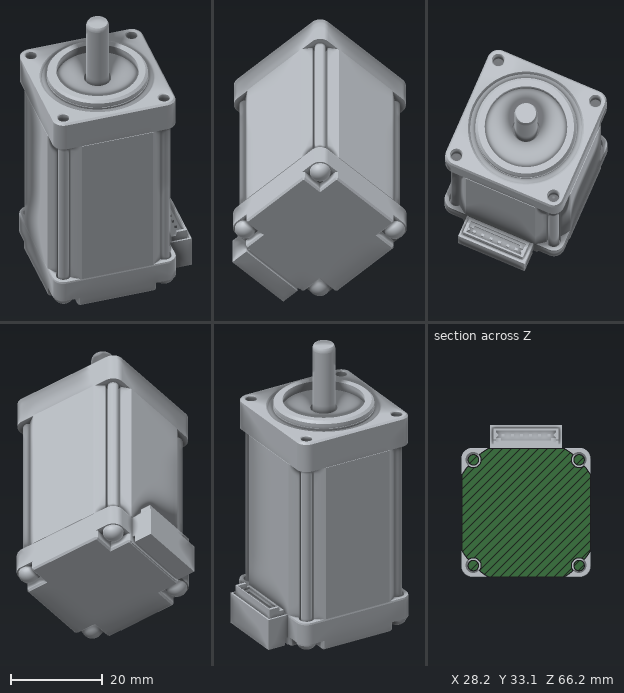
import cadquery as cq
import math


total_height = 66.2
frame_width = 28.2
frame_depth = 28.15
total_depth = 33.1

end_cap_top = 7.4
body_top = 44.2
front_cap_top = 51.25
pilot_top = 52.8

front_cap_side = 27.95
cap_corner_radius = 2.45
edge_chamfer = 0.4
rim_chamfer_width = 0.1
join_overlap = 0.3

body_corner_radius = 16.3

screw_spacing = 23.05
screw_radius = 1.2
screw_clearance_radius = 1.65
head_radius = 2.25
head_rim_height = 0.5
head_dome_height = 1.65
head_pocket_side = 5.1
head_pocket_height = 2.25

mount_hole_radius = 1.25
mount_hole_depth = 4.0
mount_hole_chamfer = 0.2

pilot_radius = 11.0
pilot_chamfer = 0.5
pilot_root_radius = 11.1
groove_outer_radius = 12.65
groove_depth = 0.45
recess_radius = 9.0
recess_depth = 2.0

shaft_radius = 2.5
shaft_clearance_radius = 3.0
shaft_clearance_depth = 2.0
tip_height = 1.0
tip_setback = 0.3

connector_width = 15.75
connector_bottom = 0.1
connector_relief_depth = 0.65
connector_relief_top = 1.9
shell_wall = 0.4
shell_gap = 0.4
plug_high_end = 3.2
plug_low_start = 3.4
plug_end = 4.45
plug_high = 2.0
plug_low = 1.0
cavity_mouth_start = 1.0
cavity_mouth_depth = 0.2
cavity_start = 1.2
cavity_end = 4.0
cavity_side_wall = 0.6
ledge_width = 10.8
ledge_start = 3.4
corner_ledge_start = 2.8
ledge_height = 0.45
key_size = 0.5
pin_count = 6
pin_pitch = 2.0
pin_width = 0.65
pin_thickness = 0.5
pin_height = 0.65
pin_inset = 2.2

screw_points = [
    (sx * screw_spacing / 2, sy * screw_spacing / 2) for sx in (-1, 1) for sy in (-1, 1)
]


def slab(width, depth, bottom, top):
    """Block centred on the Z axis between two heights."""
    return cq.Workplane("XY").workplane(offset=bottom).rect(width, depth).extrude(top - bottom)


def cylinder(radius, bottom, top, points=((0, 0),)):
    """Vertical cylinders of one radius at the given points."""
    base = cq.Workplane("XY").workplane(offset=bottom).pushPoints(list(points))
    return base.circle(radius).extrude(top - bottom)


def cone(bottom_radius, top_radius, bottom, top):
    """Truncated cone on the Z axis."""
    solid = cq.Solid.makeCone(bottom_radius, top_radius, top - bottom, cq.Vector(0, 0, bottom))
    return cq.Workplane("XY").add(solid)


def make_end_cap():
    """Rear cap: full square above, cut back at the corners below for the screw heads."""
    upper = slab(frame_width, frame_depth, head_pocket_height, end_cap_top)
    upper = upper.edges("|Z").fillet(cap_corner_radius)
    upper = upper.faces(">Z").edges().chamfer(edge_chamfer, rim_chamfer_width)
    arm_top = head_pocket_height + join_overlap
    arm_x = slab(frame_width, frame_depth - 2 * head_pocket_side, 0, arm_top)
    arm_x = arm_x.edges("|Z").chamfer(edge_chamfer)
    arm_y = slab(frame_width - 2 * head_pocket_side, frame_depth, 0, arm_top)
    arm_y = arm_y.edges("|Z").chamfer(edge_chamfer)
    cross = arm_x.union(arm_y).faces("<Z").edges().chamfer(edge_chamfer)
    clearance = cylinder(screw_clearance_radius, head_pocket_height, end_cap_top, screw_points)
    return upper.union(cross).cut(clearance)


def make_body():
    """Square stack with corners rounded about the shaft axis and relieved around the screws."""
    square = slab(frame_width, frame_depth, end_cap_top, body_top)
    rounded = square.intersect(cylinder(body_corner_radius, end_cap_top, body_top))
    return rounded.cut(cylinder(screw_clearance_radius, end_cap_top, body_top, screw_points))


def make_front_cap():
    """Front cap with pilot, sloped groove, recess, shaft clearance and mounting holes."""
    cap = slab(front_cap_side, front_cap_side, body_top, front_cap_top)
    cap = cap.edges("|Z").fillet(cap_corner_radius).faces(">Z").edges().chamfer(edge_chamfer)
    groove_floor = front_cap_top - groove_depth
    groove = cone(groove_outer_radius - groove_depth, groove_outer_radius, groove_floor, front_cap_top)
    cap = cap.cut(groove)
    pilot = cylinder(pilot_radius, body_top, pilot_top).faces(">Z").edges().chamfer(pilot_chamfer)
    root = cylinder(pilot_root_radius, body_top, front_cap_top)
    recess_floor = pilot_top - recess_depth
    cap = cap.union(root).union(pilot).cut(cylinder(recess_radius, recess_floor, pilot_top))
    shaft_well_floor = recess_floor - shaft_clearance_depth
    cap = cap.cut(cylinder(shaft_clearance_radius, shaft_well_floor, recess_floor))
    hole_floor = front_cap_top - mount_hole_depth
    cap = cap.cut(cylinder(mount_hole_radius, hole_floor, front_cap_top, screw_points))
    mouth_radius = mount_hole_radius + mount_hole_chamfer
    mouth_floor = front_cap_top - mount_hole_chamfer
    mouth = cone(mount_hole_radius, mouth_radius, mouth_floor, front_cap_top)
    for x, y in screw_points:
        cap = cap.cut(mouth.translate((x, y, 0)))
    return cap


def make_shaft():
    """Shaft whose tip narrows along an arc tangent to its side."""
    shaft_bottom = pilot_top - recess_depth - shaft_clearance_depth - join_overlap
    tip_angle = 2 * math.atan(tip_setback / tip_height)
    tip_radius = tip_height / math.sin(tip_angle)
    tip_start = total_height - tip_height
    tip_middle = (
        shaft_radius - tip_radius * (1 - math.cos(tip_angle / 2)),
        tip_start + tip_radius * math.sin(tip_angle / 2),
    )
    profile = (
        cq.Workplane("XZ")
        .moveTo(0, shaft_bottom)
        .lineTo(shaft_radius, shaft_bottom)
        .lineTo(shaft_radius, tip_start)
        .threePointArc(tip_middle, (shaft_radius - tip_setback, total_height))
        .lineTo(0, total_height)
        .close()
    )
    return profile.revolve(360, (0, 0), (0, 1))


def make_screws():
    """Four long screws with domed heads under the end cap."""
    rim_bottom = head_pocket_height - head_rim_height
    dome_bottom = rim_bottom - head_dome_height
    dome_radius = (head_radius**2 + head_dome_height**2) / (2 * head_dome_height)
    dome_center = dome_bottom + dome_radius
    half_angle = math.asin(head_radius / dome_radius) / 2
    dome_middle = (
        dome_radius * math.sin(half_angle),
        dome_center - dome_radius * math.cos(half_angle),
    )
    screw = (
        cq.Workplane("XZ")
        .moveTo(0, dome_bottom)
        .threePointArc(dome_middle, (head_radius, rim_bottom))
        .lineTo(head_radius, head_pocket_height)
        .lineTo(screw_radius, head_pocket_height)
        .lineTo(screw_radius, body_top)
        .lineTo(0, body_top)
        .close()
        .revolve(360, (0, 0), (0, 1))
    )
    return [screw.translate((x, y, 0)) for x, y in screw_points]


def connector_block(width, start, end, bottom, top, center_x=0.0):
    """Connector block between two insets from the outer face."""
    outer_face = total_depth - frame_depth / 2
    block = cq.Workplane("XY").box(width, end - start, top - bottom, centered=(True, False, False))
    return block.translate((center_x, outer_face - end, bottom))


def make_connector():
    """Connector shell holding a stepped plug with a pin cavity."""
    overhang = total_depth - frame_depth
    outer_face = total_depth - frame_depth / 2
    shell = connector_block(connector_width, 0, overhang + join_overlap, connector_bottom,
                            end_cap_top - edge_chamfer)
    rim = connector_block(connector_width, 0, overhang, connector_bottom, end_cap_top)
    relief = connector_block(connector_width, overhang - connector_relief_depth, overhang,
                             0, connector_relief_top)
    gap_width = connector_width - 2 * shell_wall
    gap_floor = end_cap_top - shell_gap
    gap = connector_block(gap_width, shell_wall, overhang, gap_floor, end_cap_top)
    shell = shell.union(rim).cut(relief).cut(gap)

    plug_start = shell_wall + shell_gap
    plug_width = gap_width - 2 * shell_gap
    plug_profile = [
        (outer_face - plug_start, gap_floor),
        (outer_face - plug_start, end_cap_top + plug_high),
        (outer_face - plug_high_end, end_cap_top + plug_high),
        (outer_face - plug_low_start, end_cap_top + plug_low),
        (outer_face - plug_end, end_cap_top + plug_low),
        (outer_face - plug_end, gap_floor),
    ]
    plug = cq.Workplane("YZ").polyline(plug_profile).close().extrude(plug_width / 2, both=True)
    cavity_width = plug_width - 2 * cavity_side_wall
    cavity_top = end_cap_top + plug_high
    cavity = connector_block(cavity_width, cavity_start, cavity_end, end_cap_top, cavity_top)
    mouth = connector_block(cavity_width, cavity_mouth_start, cavity_end,
                            cavity_top - cavity_mouth_depth, cavity_top)
    connector = shell.union(plug.cut(cavity).cut(mouth))

    ledge_top = end_cap_top + ledge_height
    connector = connector.union(
        connector_block(ledge_width, ledge_start, cavity_end, end_cap_top, ledge_top)
    )
    corner_width = (cavity_width - ledge_width) / 2
    key_y = outer_face - pin_inset
    for side in (-1, 1):
        corner_x = side * (ledge_width + corner_width) / 2
        connector = connector.union(
            connector_block(corner_width, corner_ledge_start, cavity_end, end_cap_top, ledge_top,
                            corner_x)
        )
        wall_x = side * cavity_width / 2
        key = (
            cq.Workplane("XY")
            .workplane(offset=end_cap_top)
            .polyline([(wall_x, key_y - key_size), (wall_x - side * key_size, key_y),
                       (wall_x, key_y + key_size)])
            .close()
            .extrude(plug_low)
        )
        connector = connector.union(key)

    for index in range(pin_count):
        pin_x = (index - (pin_count - 1) / 2) * pin_pitch
        pin = connector_block(pin_width, pin_inset - pin_thickness / 2,
                              pin_inset + pin_thickness / 2, end_cap_top,
                              end_cap_top + pin_height, pin_x)
        connector = connector.union(pin)
    return connector


result = make_end_cap().union(make_body()).union(make_front_cap()).union(make_shaft())
for screw in make_screws():
    result = result.union(screw)
result = result.union(make_connector())